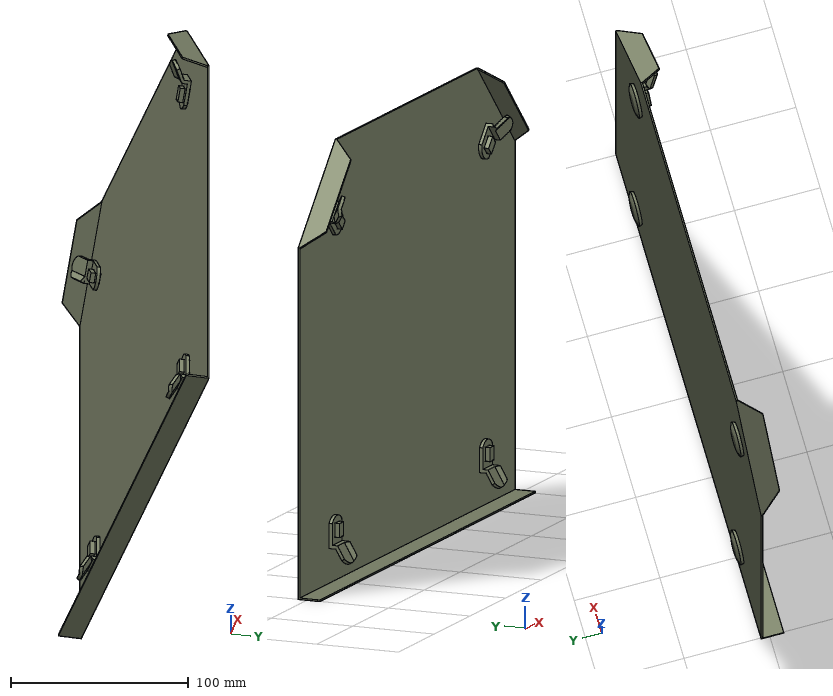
import cadquery as cq
import math


panel_width = 301.3
panel_height = 254.5
sheet = 1.0
corner_cut = 51.8
corner_angle = 45.0
flange_depth = 13.3
panel_back = 5.0
panel_front = panel_back - sheet

latch_x = 105.0
lower_latch_z = -95.8
upper_latch_z = 82.0
upper_turn = 135.0

knob_radius = 10.2
knob_base_radius = 9.5
knob_height = 3.3
knob_top_radius = 4.5
shoulder_rise = 1.5
stem_width = 5.7
stem_height = 8.0
stem_end = -1.6

latch_thickness = 2.0
latch_gap = 1.0
latch_width = 13.5
latch_top_radius = 8.0
step_drop = 10.0
step_end = -2.08
tongue_slope = 60.0
tongue_length = 12.0
tongue_tip_radius = 8.0
wing_fold = 2.7
wing_angle = 30.0
wing_width = 3.5

latch_back = panel_front - latch_gap
latch_front = latch_back - latch_thickness

latch_places = [
    (-latch_x, lower_latch_z, 0),
    (latch_x, lower_latch_z, 0),
    (-latch_x, upper_latch_z, upper_turn),
    (latch_x, upper_latch_z, -upper_turn),
]


def box_between(x0, x1, y0, y1, z0, z1):
    """Box given by its limits along each axis."""
    return cq.Workplane("XY").box(x1 - x0, y1 - y0, z1 - z0, centered=False).translate((x0, y0, z0))


def stem_bar(y0, y1):
    """Rectangular bar on the knob axis, also used to cut the holes it fits in."""
    return box_between(-stem_width / 2, stem_width / 2, y0, y1, -stem_height / 2, stem_height / 2)


def make_knob():
    """Flat-topped knob behind the panel, its rectangular stem going through panel and latch plate."""
    top = panel_back + knob_height
    rim = top - shoulder_rise
    shoulder_run = knob_radius - knob_top_radius
    shoulder_radius = (shoulder_run**2 + shoulder_rise**2) / (2 * shoulder_rise)
    mid_angle = math.asin(shoulder_run / shoulder_radius) / 2
    shoulder_mid = (
        knob_top_radius + shoulder_radius * math.sin(mid_angle),
        top - shoulder_radius * (1 - math.cos(mid_angle)),
    )
    head = (
        cq.Workplane("XY")
        .moveTo(0, panel_back)
        .lineTo(knob_base_radius, panel_back)
        .lineTo(knob_radius, rim)
        .threePointArc(shoulder_mid, (knob_top_radius, top))
        .lineTo(0, top)
        .close()
        .revolve(360, (0, 0, 0), (0, 1, 0))
    )
    return head.union(stem_bar(stem_end, panel_back))


def make_tongue():
    """Sloping tongue with one folded side and a round tip, starting at the end of the step."""
    slope = math.radians(tongue_slope)
    fold = math.radians(wing_angle)
    step_top = latch_thickness - step_drop

    fold_shift = latch_thickness * math.tan(fold / 2)
    edge_x = wing_fold + wing_width * math.cos(fold)
    edge_rise = wing_width * math.sin(fold)
    section = [
        (-latch_width / 2, 0),
        (wing_fold, 0),
        (edge_x, edge_rise),
        (edge_x + latch_thickness * math.sin(fold), edge_rise - latch_thickness * math.cos(fold)),
        (wing_fold + fold_shift, -latch_thickness),
        (-latch_width / 2, -latch_thickness),
    ]
    down_slope = cq.Plane(
        origin=(0, step_end, step_top),
        xDir=(1, 0, 0),
        normal=(0, -math.cos(slope), -math.sin(slope)),
    )
    strip = cq.Workplane(down_slope).polyline(section).close().extrude(tongue_length)

    tip_distance = tongue_length - tongue_tip_radius
    tip_plane = cq.Plane(
        origin=(0, step_end - tip_distance * math.cos(slope), step_top - tip_distance * math.sin(slope)),
        xDir=(1, 0, 0),
        normal=(0, -math.sin(slope), math.cos(slope)),
    )
    round_tip = cq.Workplane(tip_plane).circle(tongue_tip_radius).extrude(latch_width, both=True)

    reach = 2 * tongue_length
    below_step = box_between(-reach, reach, -reach, reach, -step_drop - reach, step_top)
    return strip.intersect(round_tip).intersect(below_step)


def make_latch():
    """Z-bent latch plate: upright, step towards -Y, sloping tongue."""
    half = latch_width / 2
    upright = (
        cq.Workplane("XZ", origin=(0, latch_back, 0))
        .circle(latch_top_radius)
        .extrude(latch_thickness)
        .intersect(box_between(-half, half, latch_front, latch_back, 0, latch_top_radius))
        .union(box_between(-half, half, latch_front, latch_back, -step_drop, 0))
    )
    bend_shift = latch_thickness * math.tan(math.radians(tongue_slope / 2))
    step_section = [
        (latch_back, -step_drop),
        (latch_back, latch_thickness - step_drop),
        (step_end, latch_thickness - step_drop),
        (step_end + bend_shift, -step_drop),
    ]
    step = cq.Workplane("YZ", origin=(-half, 0, 0)).polyline(step_section).close().extrude(latch_width)
    return upright.union(step).union(make_tongue()).cut(stem_bar(latch_front, latch_back))


def make_corner_flange():
    """Flange along the upper right corner cut, with mitred ends and its outer face on the cut."""
    edge_length = corner_cut * math.sqrt(2)
    mitre = flange_depth - sheet
    flange_end = panel_back - flange_depth
    outline = [
        (0, panel_back),
        (edge_length, panel_back),
        (edge_length, panel_front),
        (edge_length - mitre, flange_end),
        (mitre, flange_end),
        (0, panel_front),
    ]
    strip = cq.Workplane("XY", origin=(0, 0, -sheet)).polyline(outline).close().extrude(sheet)
    return strip.rotate((0, 0, 0), (0, 1, 0), corner_angle).translate(
        (panel_width / 2 - corner_cut, 0, panel_height / 2)
    )


def place(body, x, z, turn):
    """Turn a latch-centred body about its axis and move it to its place on the panel."""
    return body.rotate((0, 0, 0), (0, 1, 0), turn).translate((x, 0, z))


def make_panel():
    """Sheet with cut upper corners, a bottom flange, two corner flanges and the stem holes."""
    half_width = panel_width / 2
    half_height = panel_height / 2
    outline = [
        (-half_width, -half_height),
        (half_width, -half_height),
        (half_width, half_height - corner_cut),
        (half_width - corner_cut, half_height),
        (corner_cut - half_width, half_height),
        (-half_width, half_height - corner_cut),
    ]
    panel = cq.Workplane("XZ", origin=(0, panel_back, 0)).polyline(outline).close().extrude(sheet)
    bottom_flange = box_between(-half_width, half_width, panel_back - flange_depth, panel_back,
                                -half_height, sheet - half_height)
    corner_flange = make_corner_flange()
    panel = panel.union(bottom_flange).union(corner_flange).union(corner_flange.mirror("YZ"))
    for x, z, turn in latch_places:
        panel = panel.cut(place(stem_bar(panel_front, panel_back), x, z, turn))
    return panel


panel = make_panel()
knobs = [place(make_knob(), *spot) for spot in latch_places]
latches = [place(make_latch(), *spot) for spot in latch_places]

result = cq.Compound.makeCompound([
    panel.val(),
    *[knob.val() for knob in knobs],
    *[latch.val() for latch in latches],
])